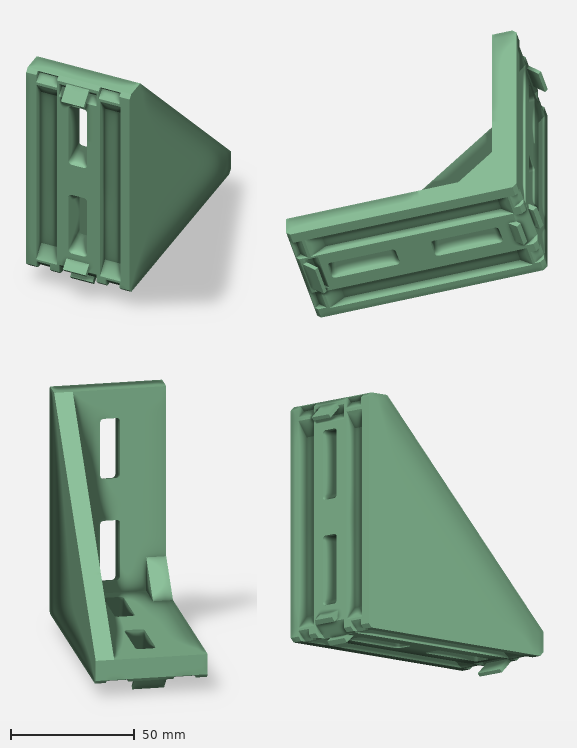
import cadquery as cq
import math


overall = 102.0
width = 46.2
leg = 96.6
thickness = 10.2
edge_chamfer = 1.6
overlap = 1.0

full_gusset_width = 7.6
corner_gusset_width = 8.3
corner_gusset_leg = 14.2

slot_width = 8.3
slot_outer_length = 28.6
slot_inner_length = 25.5
slot_radius = 1.5
slot_ends = [12.3, 55.7]
floor_slot_shift = 0.6

groove_starts = [4.6, 33.0]
groove_width = 9.2
groove_depth = 4.6
groove_low = 4.9
groove_low_run = 5.3
groove_high = leg - 6.4
groove_high_run = 6.2

notch_depth = 3.1
side_notch_inset = 4.6
side_notch_width = 9.2
side_notch_drop = 2.1
middle_notch_width = 16.8
middle_notch_drop = 6.1

side_cut_width = 6.1
side_cut_leg = 4.0
middle_cut_leg = 5.2

tab_width = 10.1
wide_tab_width = 13.2
end_tab_reach = overall - leg
end_tab_drop = 2.1
end_tab_thickness = 1.6
corner_tab_reach = 3.6
corner_tab_angle = 42.0
corner_tab_height = 9.3
corner_tab_thickness = 2.2
floor_corner_tab_height = 8.6
floor_corner_tab_reach = 3.4
tab_root = 0.5


def extrude_x(points, start, length):
    """Prism along X from an outline given as (Y, Z) points."""
    return cq.Workplane("YZ", origin=(start, 0, 0)).polyline(points).close().extrude(length)


def centred_x(points, length):
    """Prism along X, centred on the width of the bracket."""
    return extrude_x(points, (width - length) / 2, length)


def side_pair(points, inset, length):
    """Two equal prisms, each set in from one side of the bracket."""
    left = extrude_x(points, inset, length)
    return left.union(extrude_x(points, width - inset - length, length))


def to_floor(shape):
    """Mirror a shape of the wall into the floor, exchanging Y and Z."""
    return shape.mirror((0, 1, -1))


def make_body():
    far_corner = leg - edge_chamfer
    profile = [
        (edge_chamfer, 0),
        (far_corner, 0),
        (leg, edge_chamfer),
        (leg, thickness),
        (thickness, thickness),
        (thickness, leg),
        (edge_chamfer, leg),
        (0, far_corner),
        (0, edge_chamfer),
    ]
    full_gusset = [(thickness, thickness), (leg, thickness), (thickness, leg)]
    corner_end = thickness + corner_gusset_leg
    corner_gusset = [(thickness, thickness), (corner_end, thickness), (thickness, corner_end)]
    body = extrude_x(profile, 0, width)
    body = body.union(extrude_x(full_gusset, width - full_gusset_width, full_gusset_width))
    return body.union(extrude_x(corner_gusset, 0, corner_gusset_width))


def rounded_outline(length):
    return cq.Sketch().rect(slot_width, length).vertices().fillet(slot_radius)


def slot(end):
    """Through slot with a square upper end and a lower end that rises inward."""
    inner_offset = (slot_outer_length - slot_inner_length) / 2
    centre = (width / 2, 0, leg - end - slot_outer_length / 2)
    outer = rounded_outline(slot_outer_length)
    inner = rounded_outline(slot_inner_length)
    inner = inner.moved(cq.Location(cq.Vector(0, inner_offset, thickness)))
    plane = cq.Plane(origin=centre, xDir=(-1, 0, 0), normal=(0, 1, 0))
    return cq.Workplane(plane).placeSketch(outer, inner).loft()


def groove(start):
    """Closed groove with sloping ends."""
    outline = [
        (0, groove_low),
        (groove_depth, groove_low + groove_low_run),
        (groove_depth, groove_high - groove_high_run),
        (0, groove_high),
    ]
    return extrude_x(outline, start, groove_width)


def notch_outline(drop):
    """90 degree V whose valley lies the given distance below the free end."""
    half_opening = notch_depth + overlap
    valley = leg - drop
    return [
        (notch_depth, valley),
        (-overlap, valley - half_opening),
        (-overlap, valley + half_opening),
    ]


def corner_outline(cut_leg):
    return [(-overlap, -overlap), (cut_leg + overlap, -overlap), (-overlap, cut_leg + overlap)]


def tab(top_height, reach, tab_thickness, length, angle=45.0):
    """Tab sloping down and outward at an angle to the wall's normal, centred on the width.

    top_height is where its upper face leaves the wall, reach how far its tip stands off.
    """
    slope = math.tan(math.radians(angle))
    step_y = tab_thickness * math.sin(math.radians(angle))
    step_z = tab_thickness * math.cos(math.radians(angle))
    tip = (-reach, top_height - reach * slope)
    root = (tab_root, top_height + tab_root * slope)
    outline = [
        tip,
        root,
        (root[0] + step_y, root[1] - step_z),
        (tip[0] + step_y, tip[1] - step_z),
    ]
    return centred_x(outline, length)


def end_tab(length):
    return tab(leg - end_tab_drop, end_tab_reach, end_tab_thickness, length)


def corner_tab(top_height, reach, angle):
    return tab(top_height, reach, corner_tab_thickness, tab_width, angle)


result = make_body()

side_notches = side_pair(notch_outline(side_notch_drop), side_notch_inset, side_notch_width)
middle_notch = centred_x(notch_outline(middle_notch_drop), middle_notch_width)
for cutter in [side_notches, middle_notch] + [groove(start) for start in groove_starts]:
    result = result.cut(cutter).cut(to_floor(cutter))
for end in slot_ends:
    result = result.cut(slot(end)).cut(to_floor(slot(end - floor_slot_shift)))

result = result.cut(side_pair(corner_outline(side_cut_leg), side_notch_inset, side_cut_width))
result = result.cut(centred_x(corner_outline(middle_cut_leg), middle_notch_width))

result = result.union(end_tab(tab_width)).union(to_floor(end_tab(wide_tab_width)))
result = result.union(corner_tab(corner_tab_height, corner_tab_reach, corner_tab_angle))
floor_corner_tab = corner_tab(floor_corner_tab_height, floor_corner_tab_reach, 90 - corner_tab_angle)
result = result.union(to_floor(floor_corner_tab))